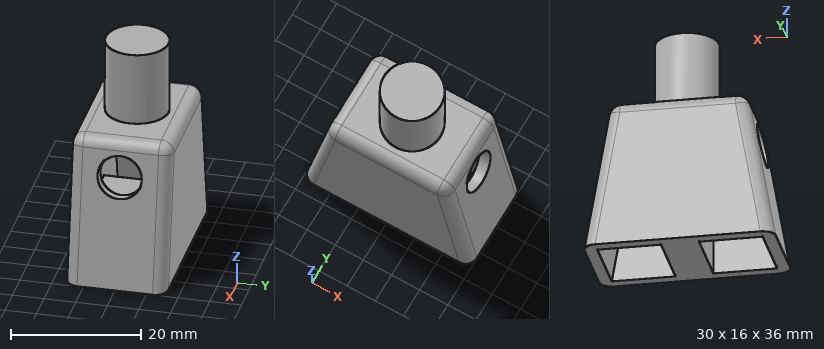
import cadquery as cq
import math

total_height = 36.0
base_length = 30.0
body_width = 16.0
stem_diameter = 10.0
stem_height = 12.0
body_height = total_height - stem_height

end_draft = 10.0
edge_radius = 2.0
wall = 2.0

hole_diameter = 7.0
hole_height = 18.1

rib_thickness = 5.95
rib_height = 10.0


def half_length(height):
    """Half the body length along X at a height above the bottom."""
    return base_length / 2 - height * math.tan(math.radians(end_draft))


def trapezoid_block(inset, height):
    """Tapered block centred on Y, with its sides moved inward by inset."""
    end_inset = inset / math.cos(math.radians(end_draft))
    bottom = half_length(0) - end_inset
    top = half_length(height) - end_inset
    width = body_width - 2 * inset
    return (
        cq.Workplane("XZ", origin=(0, width / 2, 0))
        .polyline([(-bottom, 0), (bottom, 0), (top, height), (-top, height)])
        .close()
        .extrude(width)
    )


def end_hole(side):
    """Cutter through one end wall; side is -1 or +1 along X."""
    draft = math.radians(end_draft)
    outward = cq.Vector(side * math.cos(draft), 0, math.sin(draft))
    centre = cq.Vector(side * half_length(hole_height), 0, hole_height)
    reach = 2 * wall
    start = centre - outward * reach
    return cq.Workplane(cq.Solid.makeCylinder(hole_diameter / 2, 2 * reach, start, outward))


outside = trapezoid_block(0, body_height).faces("not <Z").edges("not <Z").fillet(edge_radius)
cavity = trapezoid_block(wall, body_height - wall)
body = outside.cut(cavity)

rib = cq.Workplane("XY").box(
    rib_thickness, body_width - wall, rib_height, centered=(True, True, False)
)

stem = (
    cq.Workplane("XY", origin=(0, 0, body_height))
    .circle(stem_diameter / 2)
    .extrude(stem_height)
)

result = body.union(rib).union(stem)
for side in (-1, 1):
    result = result.cut(end_hole(side))